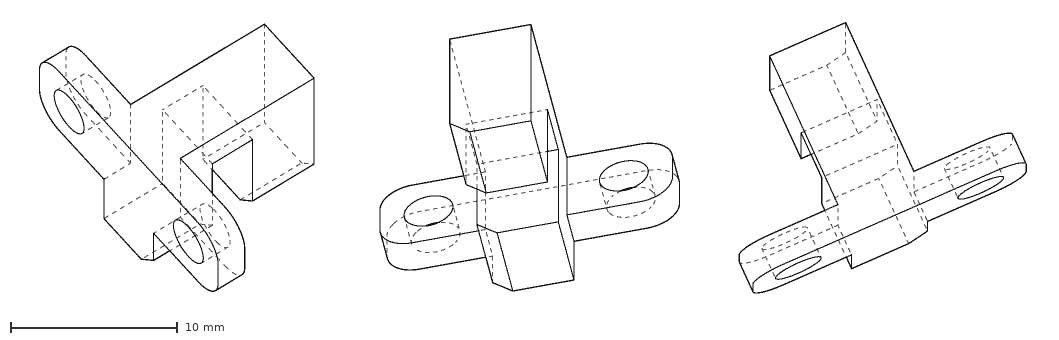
import cadquery as cq

flange_length = 18.0
flange_thickness = 2.0
flange_height = 6.0
corner_radius = 2.0
hole_diameter = 3.0
hole_spacing = 12.0

body_width = 5.0
body_depth = 12.0
body_height = 10.0
chamfer_size = 1.25

front_arm_depth = 4.4
slot_width = 3.0
roof_thickness = 2.5


def make_flange():
    flange = (
        cq.Workplane("XY")
        .box(flange_length, flange_thickness, flange_height)
        .edges("|Y")
        .fillet(corner_radius)
        .faces("<Y")
        .workplane(centerOption="CenterOfBoundBox")
        .pushPoints([(-hole_spacing / 2, 0), (hole_spacing / 2, 0)])
        .hole(hole_diameter)
    )
    return flange.translate((0, flange_thickness / 2, -flange_height / 2))


def make_body():
    body = (
        cq.Workplane("XY")
        .box(body_width, body_depth, body_height)
        .edges("|Y and >X and <Z")
        .chamfer(chamfer_size)
    )
    return body.translate((0, body_depth / 2, -body_height / 2))


def make_slot():
    slot_height = body_height - roof_thickness
    slot = cq.Workplane("XY").box(body_width, slot_width, slot_height)
    slot_center_y = front_arm_depth + slot_width / 2
    return slot.translate((0, slot_center_y, -roof_thickness - slot_height / 2))


result = make_flange().union(make_body()).cut(make_slot())